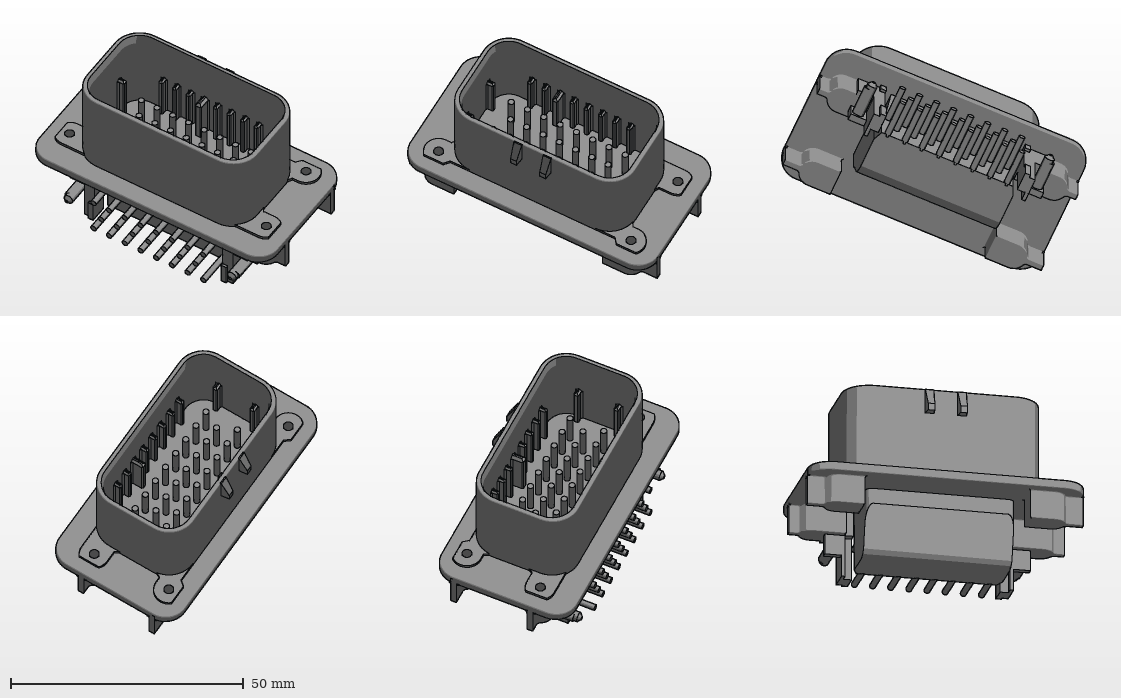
import cadquery as cq
import math


FLANGE_X = 60.8
FLANGE_Y = 32.1
FLANGE_T = 2.05
FLANGE_R = 5.0
FLANGE_TOP_ROUND = 0.55
FLANGE_BOTTOM_ROUND = 0.35

SHROUD_X = 43.4
SHROUD_Y = 23.6
SHROUD_TOP = 19.95
SHROUD_R = 6.2
SHROUD_RIM_ROUND = 0.5
WALL = 1.5
LEAD_IN = 0.5
LEAD_IN_DEPTH = 2.0
CAVITY_X = SHROUD_X - 2 * WALL
CAVITY_Y = SHROUD_Y - 2 * WALL
CAVITY_R = SHROUD_R - WALL

LATCH_X = 3.6
LATCH_BASE_W = 1.95
LATCH_TIP_W = 1.45
LATCH_REACH = 2.0
LATCH_BOTTOM = 14.4
LATCH_FACE_TOP = 15.9
LATCH_TOP = 19.8
LATCH_TOP_REACH = 0.1

PIN_ROW_LENGTH = 28.0
PIN_ROWS = ((8, -1), (7, 0), (8, 1))
PITCH = PIN_ROW_LENGTH / (PIN_ROWS[0][0] - 1)
PIN_D = 1.35
PIN_TOP = 7.3
PIN_ROW_Z = -11.85
PIN_FRONT = -15.15

RIB_ROW_LENGTH = 24.3
RIB_COUNT = 8
RIB_PITCH = RIB_ROW_LENGTH / (RIB_COUNT - 1)
RIB_W = 1.05
RIB_LENGTH = 1.65
RIB_TOP = 9.9
RIB_CREST_SHARE = 0.38
RIB_CORNER = 0.25
RIB_FLARE = 0.3
RIB_FLARE_LENGTH = 0.4
LONG_RIB_LENGTH = 2.9
REAR_LONG_RIB = 3
REAR_LONG_RIB_W = 1.6
FRONT_LONG_RIB = 5
FRONT_LONG_RIB_W = 1.35
END_RIB_Y = 4.75
END_RIB_W = 1.15

REAR_HOLE = (23.65, 10.8)
FRONT_HOLE = (25.1, -7.3)
HOLE_D = 2.1
HOLE_BOTTOM = -7.3
PAD_T = 0.6
PAD_R = 3.3
REAR_PAD_FLAT = 2.25
REAR_PAD_FLAT_END = 21.3
REAR_PAD_SLOPE_END = 20.25
FRONT_PAD_FLAT = 2.1
PAD_INNER_X = 18.85
PAD_GUSSET_X = 0.55
PAD_GUSSET_Y = 1.05
POST_R = 3.0
POST_BOTTOM = -8.5
POST_WEB_T = 1.45
POST_WEB_ROUND = 0.9
POST_ROOT_ROUND = 0.4
POST_FOOT_ROUND = 0.3
POST_INNER_X = 18.25

BODY_BACK = 7.0
BODY_FRONT = -7.2
BODY_TAPER_Y = -5.05
BODY_BOTTOM = -16.5
BODY_X = 32.7
BODY_FACE_X = 30.9
BODY_BACK_SLOPE = [(BODY_BACK, -5.5), (5.4, -9.3), (4.4, -13.6), (3.9, BODY_BOTTOM)]
BODY_CORNER_R = 1.5
BODY_HEEL_R = 2.9
GUSSET_X = 29.4
GUSSET_REACH = 3.35
GUSSET_BOTTOM = -7.2

LEG_IN = 16.35
LEG_OUT = 19.0
LEG_BACK = -5.65
LEG_FRONT = -11.0
LEG_BOTTOM = -17.9
LEG_NOTCH = 1.8
LEG_NOTCH_FRONT = -7.4
EAR_OUT = 22.7
EAR_FRONT = -7.1
EAR_BOTTOM = -13.1
FOOT_RIB_W = 1.3
FOOT_RIB_T = 0.6
UPPER_RIB_BOTTOM = -4.1
LOWER_RIB_TOP = -13.0
PEG_X = 20.85
PEG_Z = -11.3
PEG_R = 1.1
PEG_TIP = 0.7
PEG_SIDE_R = 0.85
PEG_SIDE_SHIFT = 0.6
PEG_HEAD = 1.6

OVERLAP = 0.5


def block(x0, x1, y0, y1, z0, z1):
    return cq.Workplane("XY").box(x1 - x0, y1 - y0, z1 - z0, centered=False).translate((x0, y0, z0))


def both_sides(solid):
    return solid.union(solid.mirror("YZ"))


def rounded_prism(length, width, radius, z0, z1):
    prism = cq.Workplane("XY", origin=(0, 0, z0)).rect(length, width).extrude(z1 - z0)
    return prism.edges("|Z").fillet(radius)


def cylinder_along_y(x, z, radius, y_front, y_back):
    return cq.Workplane("XZ", origin=(x, y_back, z)).circle(radius).extrude(y_back - y_front)


def post(hole):
    """Round post on the -X side, with a web running past the flange end and a square inner side."""
    x, y = -hole[0], hole[1]
    web_end = -FLANGE_X / 2 - OVERLAP
    half_web = POST_WEB_T / 2
    barrel = cq.Workplane("XY", origin=(x, y, POST_BOTTOM)).circle(POST_R).extrude(-FLANGE_T - POST_BOTTOM)
    web = block(web_end, x, y - half_web, y + half_web, POST_BOTTOM, -FLANGE_T)
    inner = block(x, -POST_INNER_X, y - POST_R, y + POST_R, POST_BOTTOM, -FLANGE_T)
    body = barrel.union(web).union(inner)
    web_corners = cq.selectors.BoxSelector(
        (x - POST_R, y - POST_WEB_T, POST_BOTTOM - OVERLAP),
        (x - POST_R / 2, y + POST_WEB_T, 0),
    )
    body = body.edges("|Z").edges(web_corners).fillet(POST_WEB_ROUND)
    return body.faces("<Z").edges().fillet(POST_FOOT_ROUND)


def posts():
    """The four posts, flared where they meet the flange and trimmed square at the flange ends."""
    slab = block(-FLANGE_X, FLANGE_X, -FLANGE_Y, FLANGE_Y, -FLANGE_T, -FLANGE_T / 2)
    solid = slab.union(both_sides(post(REAR_HOLE).union(post(FRONT_HOLE))))
    roots = cq.selectors.BoxSelector(
        (-FLANGE_X / 2 - 2 * OVERLAP, -FLANGE_Y / 2, -FLANGE_T - OVERLAP),
        (FLANGE_X / 2 + 2 * OVERLAP, FLANGE_Y / 2, -FLANGE_T + OVERLAP),
    )
    solid = solid.edges(roots).fillet(POST_ROOT_ROUND)
    end, side = FLANGE_X / 2, FLANGE_Y / 2
    solid = solid.intersect(block(-end, end, -side, side, POST_BOTTOM, -FLANGE_T))
    half_web = POST_WEB_T / 2
    for _, y in (REAR_HOLE, FRONT_HOLE):
        rim_web = block(-end, end, y - half_web, y + half_web, -FLANGE_T, -FLANGE_TOP_ROUND)
        solid = solid.union(rim_web)
    return solid


def flange():
    plate = rounded_prism(FLANGE_X, FLANGE_Y, FLANGE_R, -FLANGE_T, 0)
    plate = plate.faces(">Z").edges().fillet(FLANGE_TOP_ROUND)
    return plate.faces("<Z").edges().fillet(FLANGE_BOTTOM_ROUND)


def shroud():
    solid = rounded_prism(SHROUD_X, SHROUD_Y, SHROUD_R, 0, SHROUD_TOP)
    return solid.faces(">Z").edges().fillet(SHROUD_RIM_ROUND)


def cavity():
    """Inside of the shroud: a straight well that opens out along a tapered lead-in."""
    well = rounded_prism(CAVITY_X, CAVITY_Y, CAVITY_R, 0, SHROUD_TOP)
    outline = cq.Sketch().rect(CAVITY_X, CAVITY_Y).vertices().fillet(CAVITY_R)
    flare = math.degrees(math.atan2(LEAD_IN, LEAD_IN_DEPTH))
    mouth = cq.Workplane("XY", origin=(0, 0, SHROUD_TOP - LEAD_IN_DEPTH)).placeSketch(outline)
    mouth = mouth.extrude(LEAD_IN_DEPTH, taper=-flare)
    return well.union(mouth)


def latch(x):
    """Wedge on the rear wall, narrowing toward its tip."""
    wall = SHROUD_Y / 2
    tip = wall + LATCH_REACH
    side = (
        cq.Workplane("YZ", origin=(x - LATCH_BASE_W / 2, 0, 0))
        .polyline([(wall - OVERLAP, LATCH_BOTTOM), (tip, LATCH_BOTTOM), (tip, LATCH_FACE_TOP),
                   (wall + LATCH_TOP_REACH, LATCH_TOP), (wall - OVERLAP, LATCH_TOP)])
        .close()
        .extrude(LATCH_BASE_W)
    )
    plan = (
        cq.Workplane("XY", origin=(x, 0, LATCH_BOTTOM))
        .polyline([(-LATCH_BASE_W / 2, wall - OVERLAP), (-LATCH_BASE_W / 2, wall),
                   (-LATCH_TIP_W / 2, tip), (LATCH_TIP_W / 2, tip),
                   (LATCH_BASE_W / 2, wall), (LATCH_BASE_W / 2, wall - OVERLAP)])
        .close()
        .extrude(LATCH_TOP - LATCH_BOTTOM)
    )
    return side.intersect(plan)


def key_rib(x, y, angle, width, length):
    """Keying rib that starts on the wall at (x, y) and points along `angle` in degrees."""
    half = width / 2
    crest = RIB_CREST_SHARE * width
    foot = half + RIB_FLARE
    root = (
        cq.Workplane("XY")
        .polyline([(-OVERLAP, -foot), (0, -foot), (RIB_FLARE_LENGTH, -half),
                   (RIB_FLARE_LENGTH, half), (0, foot), (-OVERLAP, foot)])
        .close()
        .extrude(RIB_TOP - crest)
    )
    blade = block(-OVERLAP, length, -half, half, 0, RIB_TOP)
    blade = blade.edges(">Z and (not <X)").chamfer(crest)
    blade = blade.edges("|Z and >X").chamfer(RIB_CORNER)
    return root.union(blade).rotate((0, 0, 0), (0, 0, 1), angle).translate((x, y, 0))


def key_ribs():
    ribs = cq.Workplane("XY")
    for i in range(RIB_COUNT):
        x = (i - (RIB_COUNT - 1) / 2) * RIB_PITCH
        rear = (REAR_LONG_RIB_W, LONG_RIB_LENGTH) if i == REAR_LONG_RIB else (RIB_W, RIB_LENGTH)
        front = (FRONT_LONG_RIB_W, LONG_RIB_LENGTH) if i == FRONT_LONG_RIB else (RIB_W, RIB_LENGTH)
        ribs = ribs.union(key_rib(x, CAVITY_Y / 2, -90, *rear))
        ribs = ribs.union(key_rib(x, -CAVITY_Y / 2, 90, *front))
    for y in (-END_RIB_Y, END_RIB_Y):
        ribs = ribs.union(key_rib(-CAVITY_X / 2, y, 0, END_RIB_W, RIB_LENGTH))
        ribs = ribs.union(key_rib(CAVITY_X / 2, y, 180, END_RIB_W, RIB_LENGTH))
    return ribs


def pins():
    """Three staggered rows: upright in the cavity, and pointing along -Y out of the body."""
    solid = cq.Workplane("XY")
    for count, row in PIN_ROWS:
        for i in range(count):
            x = (i - (count - 1) / 2) * PITCH
            upright = cq.Workplane("XY", origin=(x, row * PITCH, -OVERLAP)).circle(PIN_D / 2)
            solid = solid.union(upright.extrude(PIN_TOP + OVERLAP))
            z = PIN_ROW_Z + row * PITCH
            solid = solid.union(cylinder_along_y(x, z, PIN_D / 2, PIN_FRONT, BODY_FRONT + OVERLAP))
    return solid


def rear_pad():
    """Raised pad round the rear hole: a disc with a flat back, running into the shroud."""
    x, y = -REAR_HOLE[0], REAR_HOLE[1]
    wall_x, wall_y = -SHROUD_X / 2, SHROUD_Y / 2
    flat_y = y + REAR_PAD_FLAT
    low_y = y - PAD_R
    disc = cq.Workplane("XY", origin=(x, y, -OVERLAP)).circle(PAD_R).extrude(PAD_T + OVERLAP)
    disc = disc.intersect(block(x - PAD_R, x, low_y, flat_y, -OVERLAP, PAD_T))
    inner = (
        cq.Workplane("XY", origin=(0, 0, -OVERLAP))
        .polyline([(x, low_y), (x, flat_y), (-REAR_PAD_FLAT_END, flat_y), (-REAR_PAD_SLOPE_END, wall_y),
                   (wall_x + SHROUD_R, wall_y), (wall_x + SHROUD_R, low_y - PAD_GUSSET_Y),
                   (wall_x, low_y - PAD_GUSSET_Y), (wall_x - PAD_GUSSET_X, low_y)])
        .close()
        .extrude(PAD_T + OVERLAP)
    )
    return disc.union(inner)


def front_pad():
    """Raised pad round the front hole: a disc with a flat end, running into the shroud."""
    x, y = -FRONT_HOLE[0], FRONT_HOLE[1]
    wall_x = -SHROUD_X / 2
    high_y = y + PAD_R
    disc = cq.Workplane("XY", origin=(x, y, -OVERLAP)).circle(PAD_R).extrude(PAD_T + OVERLAP)
    disc = disc.intersect(block(x - FRONT_PAD_FLAT, x, y - PAD_R, high_y, -OVERLAP, PAD_T))
    inner = (
        cq.Workplane("XY", origin=(0, 0, -OVERLAP))
        .polyline([(x, y - PAD_R), (x, high_y), (wall_x - PAD_GUSSET_X, high_y),
                   (wall_x, high_y + PAD_GUSSET_Y), (-PAD_INNER_X, high_y + PAD_GUSSET_Y),
                   (-PAD_INNER_X, y - PAD_R)])
        .close()
        .extrude(PAD_T + OVERLAP)
    )
    return disc.union(inner)


def mounting_holes():
    centres = [(side * x, y) for side in (-1, 1) for x, y in (REAR_HOLE, FRONT_HOLE)]
    holes = cq.Workplane("XY", origin=(0, 0, HOLE_BOTTOM)).pushPoints(centres).circle(HOLE_D / 2)
    return holes.extrude(PAD_T - HOLE_BOTTOM)


def contact_body():
    """Body below the flange: tapered front, rounded back corners, sloping back and rounded heel."""
    half, face_half = BODY_X / 2, BODY_FACE_X / 2
    plan = (
        cq.Workplane("XY", origin=(0, 0, BODY_BOTTOM))
        .polyline([(-face_half, BODY_FRONT), (face_half, BODY_FRONT), (half, BODY_TAPER_Y),
                   (half, BODY_BACK), (-half, BODY_BACK), (-half, BODY_TAPER_Y)])
        .close()
        .extrude(-OVERLAP - BODY_BOTTOM)
    )
    plan = plan.edges("|Z and >Y").fillet(BODY_CORNER_R)
    side = (
        cq.Workplane("YZ", origin=(-half, 0, 0))
        .polyline([(BODY_FRONT, -OVERLAP), (BODY_BACK, -OVERLAP)] + BODY_BACK_SLOPE
                  + [(BODY_FRONT, BODY_BOTTOM)])
        .close()
        .extrude(BODY_X)
    )
    heel = cq.selectors.BoxSelector(
        (-half, 0, BODY_BOTTOM - OVERLAP),
        (half, BODY_BACK, BODY_BOTTOM + OVERLAP),
    )
    side = side.edges("|X").edges(heel).fillet(BODY_HEEL_R)
    return plan.intersect(side)


def gusset():
    """Sloping web between the flange underside and the body front."""
    return (
        cq.Workplane("YZ", origin=(-GUSSET_X / 2, 0, 0))
        .polyline([(BODY_FRONT + OVERLAP, -OVERLAP), (BODY_FRONT - GUSSET_REACH, -OVERLAP),
                   (BODY_FRONT - GUSSET_REACH, -FLANGE_T), (BODY_FRONT, GUSSET_BOTTOM),
                   (BODY_FRONT + OVERLAP, GUSSET_BOTTOM)])
        .close()
        .extrude(GUSSET_X)
    )


def stand_off():
    """Leg, ear and foot ribs on the -X side that carry the part on the board."""
    shoulder = block(-EAR_OUT, -LEG_IN, LEG_FRONT, LEG_BACK, POST_BOTTOM, -OVERLAP)
    leg = block(-LEG_OUT, -LEG_IN, LEG_FRONT, LEG_BACK, LEG_BOTTOM, POST_BOTTOM)
    notch = block(-LEG_IN - LEG_NOTCH, -LEG_IN, LEG_NOTCH_FRONT, LEG_BACK, LEG_BOTTOM, POST_BOTTOM)
    ear = block(-EAR_OUT, -LEG_OUT, EAR_FRONT, LEG_BACK, EAR_BOTTOM, POST_BOTTOM)
    solid = shoulder.union(leg.cut(notch)).union(ear)
    for z0, z1 in ((UPPER_RIB_BOTTOM, -OVERLAP), (LEG_BOTTOM, LOWER_RIB_TOP)):
        solid = solid.union(block(-LEG_IN - FOOT_RIB_W, -LEG_IN, LEG_FRONT - FOOT_RIB_T, LEG_FRONT, z0, z1))
    return solid


def peg():
    """Locating peg on the -X ear: a chamfered pin with a thinner swelling along its outer side."""
    ear_y = EAR_FRONT + OVERLAP
    pin = cylinder_along_y(-PEG_X, PEG_Z, PEG_R, PIN_FRONT, ear_y)
    pin = pin.faces("<Y").edges().chamfer(PEG_TIP)
    lean = (PEG_R - PEG_SIDE_R) / PEG_SIDE_SHIFT
    rise = math.sqrt(1 - lean ** 2)
    flank = (
        cq.Workplane("XZ", origin=(-PEG_X, ear_y, PEG_Z))
        .moveTo(-PEG_R * lean, PEG_R * rise)
        .lineTo(-PEG_SIDE_SHIFT - PEG_SIDE_R * lean, PEG_SIDE_R * rise)
        .threePointArc((-PEG_SIDE_SHIFT - PEG_SIDE_R, 0),
                       (-PEG_SIDE_SHIFT - PEG_SIDE_R * lean, -PEG_SIDE_R * rise))
        .lineTo(-PEG_R * lean, -PEG_R * rise)
        .close()
    )
    side = flank.extrude(ear_y - PIN_FRONT - PEG_HEAD)
    return pin.union(side)


housing = flange().union(shroud()).cut(cavity()).union(key_ribs())
for latch_x in (-LATCH_X, LATCH_X):
    housing = housing.union(latch(latch_x))
pads = both_sides(rear_pad().union(front_pad())).cut(cavity())
housing = housing.union(pads).union(posts()).cut(mounting_holes())
underside = contact_body().union(gusset()).union(both_sides(stand_off().union(peg())))
result = housing.union(underside).union(pins())